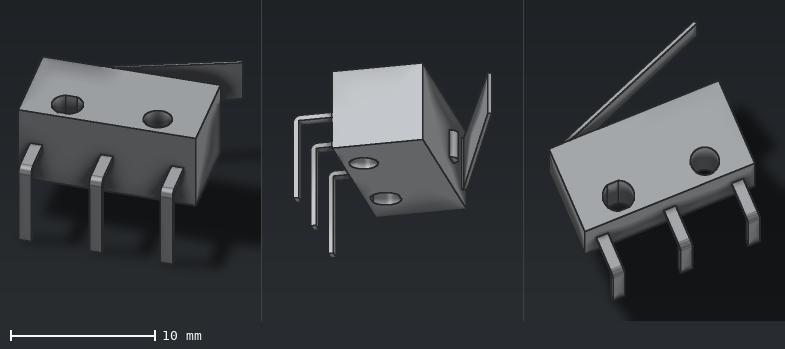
import cadquery as cq
import math

HOUSING_LENGTH = 12.8
HOUSING_DEPTH = 6.5
HOUSING_HEIGHT = 5.8
MID_HEIGHT = HOUSING_HEIGHT / 2
LEFT_FACE_X = -HOUSING_LENGTH / 2

HOLE_DIAMETER = 2.0
WIDE_HOLE_DIAMETER = 2.2
WIDE_HOLE_FLATS = 2.05
HOLE_SPACING = 6.5
HOLE_Y = 1.5

BUTTON_RADIUS = 0.6
BUTTON_PROTRUSION = 0.48
BUTTON_LENGTH = 2.03
BUTTON_X = LEFT_FACE_X + 4.45

TERMINAL_COUNT = 3
TERMINAL_PITCH = 5.09
TERMINAL_WIDTH = 0.9
TERMINAL_THICKNESS = 0.4
TERMINAL_REACH = 3.0
TERMINAL_DROP = 3.1
BEND_OUTER_RADIUS = 0.51
BEND_INNER_RADIUS = BEND_OUTER_RADIUS - TERMINAL_THICKNESS

LEVER_THICKNESS = 0.3
LEVER_FOOT_X = LEFT_FACE_X + 1.1
LEVER_FOOT_HEIGHT = 0.33
LEVER_RISE = 5.0
LEVER_RUN = 11.92
LEVER_BASE_WIDTH = 3.8
LEVER_TIP_WIDTH = 3.05


def make_terminal(center_x):
    """L-shaped strip running out of the front face and bending down."""
    top_z = MID_HEIGHT + TERMINAL_THICKNESS / 2
    under_z = top_z - TERMINAL_THICKNESS
    inner_y = -TERMINAL_REACH + TERMINAL_THICKNESS
    profile = (
        cq.Workplane("YZ", origin=(center_x, 0, 0))
        .moveTo(0, top_z)
        .lineTo(-TERMINAL_REACH + BEND_OUTER_RADIUS, top_z)
        .radiusArc((-TERMINAL_REACH, top_z - BEND_OUTER_RADIUS), -BEND_OUTER_RADIUS)
        .lineTo(-TERMINAL_REACH, -TERMINAL_DROP)
        .lineTo(inner_y, -TERMINAL_DROP)
        .lineTo(inner_y, under_z - BEND_INNER_RADIUS)
        .radiusArc((inner_y + BEND_INNER_RADIUS, under_z), BEND_INNER_RADIUS)
        .lineTo(0, under_z)
        .close()
    )
    return profile.extrude(TERMINAL_WIDTH / 2, both=True)


def make_wide_hole():
    """Cutter for the widened hole: a round bar with two parallel flats."""
    bar = cq.Workplane("XY").circle(WIDE_HOLE_DIAMETER / 2).extrude(HOUSING_HEIGHT)
    flats = cq.Workplane("XY").rect(WIDE_HOLE_DIAMETER, WIDE_HOLE_FLATS).extrude(HOUSING_HEIGHT)
    return bar.intersect(flats).translate((-HOLE_SPACING / 2, HOLE_Y, 0))


def make_housing():
    """Case with its fixed button and terminals, pierced by two mounting holes."""
    body = cq.Workplane("XY").box(
        HOUSING_LENGTH, HOUSING_DEPTH, HOUSING_HEIGHT, centered=(True, False, False)
    )
    button_y = HOUSING_DEPTH + BUTTON_PROTRUSION - BUTTON_RADIUS
    button = (
        cq.Workplane("XY", origin=(BUTTON_X, button_y, MID_HEIGHT))
        .circle(BUTTON_RADIUS)
        .extrude(BUTTON_LENGTH / 2, both=True)
    )
    body = body.union(button)
    for index in range(TERMINAL_COUNT):
        center_x = (index - (TERMINAL_COUNT - 1) / 2) * TERMINAL_PITCH
        body = body.union(make_terminal(center_x))
    round_hole = (
        cq.Workplane("XY")
        .center(HOLE_SPACING / 2, HOLE_Y)
        .circle(HOLE_DIAMETER / 2)
        .extrude(HOUSING_HEIGHT)
    )
    return body.cut(round_hole).cut(make_wide_hole())


def make_lever():
    """Bent strip resting on the back face, narrowing from its foot to its tip."""
    slope = math.atan2(LEVER_RISE - LEVER_FOOT_HEIGHT, LEVER_RUN)
    bend_y = HOUSING_DEPTH + LEVER_FOOT_HEIGHT
    tip_x = LEVER_FOOT_X + LEVER_RUN
    tip_y = HOUSING_DEPTH + LEVER_RISE
    inner_x = LEVER_FOOT_X + LEVER_THICKNESS
    inner_bend_y = bend_y + LEVER_THICKNESS * (math.tan(slope) - 1 / math.cos(slope))
    end_x = tip_x + LEVER_THICKNESS * math.sin(slope)
    end_y = tip_y - LEVER_THICKNESS * math.cos(slope)
    strip = (
        cq.Workplane("XY", origin=(0, 0, MID_HEIGHT))
        .polyline([
            (LEVER_FOOT_X, HOUSING_DEPTH),
            (LEVER_FOOT_X, bend_y),
            (tip_x, tip_y),
            (end_x, end_y),
            (inner_x, inner_bend_y),
            (inner_x, HOUSING_DEPTH),
        ])
        .close()
        .extrude(LEVER_BASE_WIDTH / 2, both=True)
    )

    half_base = LEVER_BASE_WIDTH / 2
    half_tip = LEVER_TIP_WIDTH / 2
    envelope = (
        cq.Workplane("YZ", origin=(LEVER_FOOT_X, 0, MID_HEIGHT))
        .polyline([
            (HOUSING_DEPTH, -half_base),
            (tip_y, -half_tip),
            (tip_y, half_tip),
            (HOUSING_DEPTH, half_base),
        ])
        .close()
        .extrude(end_x - LEVER_FOOT_X)
    )
    return strip.intersect(envelope)


housing = make_housing()
lever = make_lever()
result = cq.Compound.makeCompound([housing.solids().val(), lever.solids().val()])